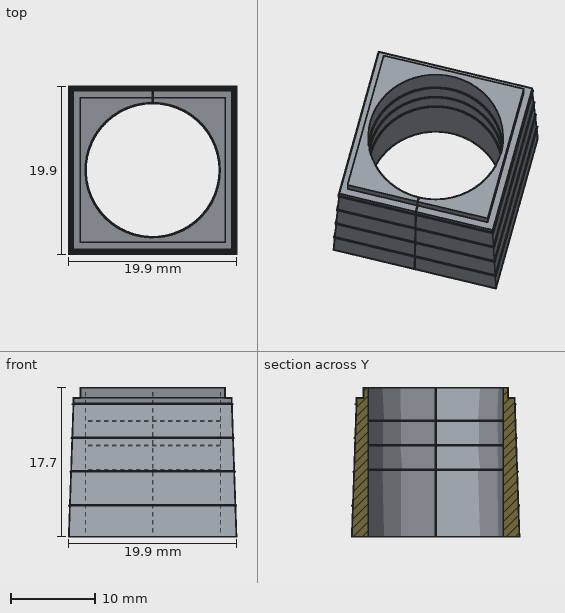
import cadquery as cq
import math

base_width = 19.9
total_height = 17.7

draft_angle = 2.0
wall_height = 15.8

course_count = 4
course_pitch = 4.0
lip_height = 0.1
lip_projection = 0.1
first_lip_bottom = wall_height - lip_height - (course_count - 1) * course_pitch

rim_top = 16.48
plate_width = 17.15

bore_diameter = 16.0
ring_count = 3
ring_pitch = 2.9
top_ring_bottom = 13.71
ring_height = 0.1
ring_projection = 0.1

slit_width = 0.08


def wall_width(z):
    """Outer width of the leaning walls at height z."""
    return base_width - 2 * z * math.tan(math.radians(draft_angle))


def square_frustum(bottom, bottom_width, top, top_width):
    return (
        cq.Workplane("XY", origin=(0, 0, bottom))
        .rect(bottom_width, bottom_width)
        .workplane(offset=top - bottom)
        .rect(top_width, top_width)
        .loft(ruled=True)
    )


def square_block(bottom, top, width):
    return cq.Workplane("XY", origin=(0, 0, bottom)).rect(width, width).extrude(top - bottom)


def course_lip(bottom):
    """Square lip that slopes back to the wall at its top edge."""
    top = bottom + lip_height
    return square_frustum(bottom, wall_width(bottom) + 2 * lip_projection, top, wall_width(top))


def bore_cutter():
    """Bore cylinder with a notch left for each inward ring."""
    bore_radius = bore_diameter / 2
    ring_radius = bore_radius - ring_projection
    points = [(0, 0), (bore_radius, 0)]
    for index in reversed(range(ring_count)):
        ring_bottom = top_ring_bottom - index * ring_pitch
        points += [
            (bore_radius, ring_bottom),
            (ring_radius, ring_bottom),
            (bore_radius, ring_bottom + ring_height),
        ]
    points += [(bore_radius, total_height), (0, total_height)]
    return cq.Workplane("XZ").polyline(points).close().revolve(360, (0, 0, 0), (0, 1, 0))


def slit_cutter():
    return cq.Workplane("XY").box(slit_width, base_width, total_height, centered=(True, False, False))


body = square_frustum(0, base_width, wall_height, wall_width(wall_height))
for course in range(course_count):
    body = body.union(course_lip(first_lip_bottom + course * course_pitch))
body = body.union(square_block(wall_height, rim_top, wall_width(wall_height)))
body = body.union(square_block(rim_top, total_height, plate_width))

result = body.cut(bore_cutter()).cut(slit_cutter())